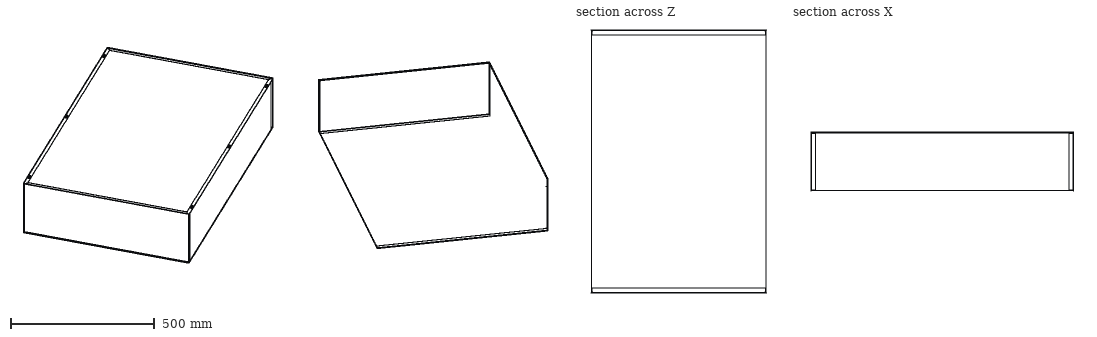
import cadquery as cq

BOX_WIDTH = 609.6
BOX_LENGTH = 914.4
BOX_HEIGHT = 203.2

SHEET = 1.83
INNER_BEND = 0.76
OUTER_BEND = INNER_BEND + SHEET

RIM_WIDTH = 12.7
TAB_LENGTH = 16.2

KEYHOLE_ROWS = 3
KEYHOLE_PITCH = 406.4
SCREW_INSET = RIM_WIDTH / 2
SLOT_RADIUS = 3.57
HEAD_RADIUS = 5.5
HEAD_OFFSET = 6.5
PILOT_RADIUS = 2.0

RIM_BEND_Z = BOX_HEIGHT - OUTER_BEND
HALF_WIDTH = BOX_WIDTH / 2
HALF_LENGTH = BOX_LENGTH / 2
INNER_HALF_WIDTH = HALF_WIDTH - SHEET
RIM_HALF_WIDTH = HALF_WIDTH - RIM_WIDTH
RIM_HALF_LENGTH = HALF_LENGTH - RIM_WIDTH
SCREW_X = HALF_WIDTH - SCREW_INSET
SCREW_POINTS = [
    (side * SCREW_X, (row - (KEYHOLE_ROWS - 1) / 2) * KEYHOLE_PITCH)
    for side in (-1, 1)
    for row in range(KEYHOLE_ROWS)
]


def block(x_size, y_size, z_min, z_max):
    """Upright box centred on the Z axis."""
    return (
        cq.Workplane("XY")
        .workplane(offset=z_min)
        .rect(x_size, y_size)
        .extrude(z_max - z_min)
    )


def rim_opening():
    """Block that clears the top of the box inside the rim flanges."""
    return block(2 * RIM_HALF_WIDTH, 2 * RIM_HALF_LENGTH, RIM_BEND_Z, BOX_HEIGHT)


def mitre_wedge():
    """Prism over the -Y end of the rim, bounded by the two mitre lines from the inner wall corners."""
    reach = INNER_HALF_WIDTH
    return (
        cq.Workplane("XY")
        .workplane(offset=RIM_BEND_Z)
        .polyline([(-reach, -HALF_LENGTH), (reach, -HALF_LENGTH), (0, -HALF_LENGTH + reach)])
        .close()
        .extrude(OUTER_BEND)
    )


def make_wrapper():
    """Bottom and two long sides bent from one sheet, with a mitred rim flange on each side."""
    outer = block(BOX_WIDTH, BOX_LENGTH, 0, BOX_HEIGHT).edges("|Y").fillet(OUTER_BEND)
    inner = (
        block(2 * INNER_HALF_WIDTH, BOX_LENGTH, SHEET, BOX_HEIGHT - SHEET)
        .edges("|Y")
        .fillet(INNER_BEND)
    )
    opening = block(2 * RIM_HALF_WIDTH, BOX_LENGTH, RIM_BEND_Z, BOX_HEIGHT)
    pilots = (
        cq.Workplane("XY")
        .workplane(offset=BOX_HEIGHT - SHEET)
        .pushPoints(SCREW_POINTS)
        .circle(PILOT_RADIUS)
        .extrude(SHEET)
    )
    front_wedge = mitre_wedge()
    return (
        outer.cut(inner)
        .cut(opening)
        .cut(front_wedge)
        .cut(front_wedge.mirror("XZ"))
        .cut(pilots)
    )


def rounded_tray_block(width, length, z_min, z_max, radius):
    """Box with its long edges and the edges of its -Y face rounded."""
    return block(width, length, z_min, z_max).edges("|Y or <Y").fillet(radius)


def make_end_panel():
    """End at -Y with two side tabs, a bottom tab and a mitred rim flange, all bent inwards."""
    width = 2 * INNER_HALF_WIDTH
    outer = rounded_tray_block(width, BOX_LENGTH, SHEET, BOX_HEIGHT, OUTER_BEND)
    inner = rounded_tray_block(
        width - 2 * SHEET,
        BOX_LENGTH - 2 * SHEET,
        2 * SHEET,
        BOX_HEIGHT - SHEET,
        INNER_BEND,
    )
    tray = outer.cut(inner).cut(rim_opening())
    tab_zone = block(BOX_WIDTH, 2 * TAB_LENGTH, 0, RIM_BEND_Z).translate((0, -HALF_LENGTH, 0))
    return tray.intersect(tab_zone.union(mitre_wedge()))


def make_cover():
    """Flat cover with a row of keyholes along each long edge."""
    cover = block(BOX_WIDTH, BOX_LENGTH, BOX_HEIGHT, BOX_HEIGHT + SHEET)
    for x, y in SCREW_POINTS:
        base = cq.Workplane("XY", origin=(x, y, BOX_HEIGHT))
        slot = base.circle(SLOT_RADIUS).extrude(SHEET)
        neck = base.center(0, -HEAD_OFFSET / 2).rect(2 * SLOT_RADIUS, HEAD_OFFSET).extrude(SHEET)
        head = base.center(0, -HEAD_OFFSET).circle(HEAD_RADIUS).extrude(SHEET)
        cover = cover.cut(slot).cut(neck).cut(head)
    return cover


wrapper = make_wrapper()
front_panel = make_end_panel()
back_panel = front_panel.mirror("XZ")
cover = make_cover()

result = cq.Compound.makeCompound([
    wrapper.solids().val(),
    front_panel.solids().val(),
    back_panel.solids().val(),
    cover.solids().val(),
])